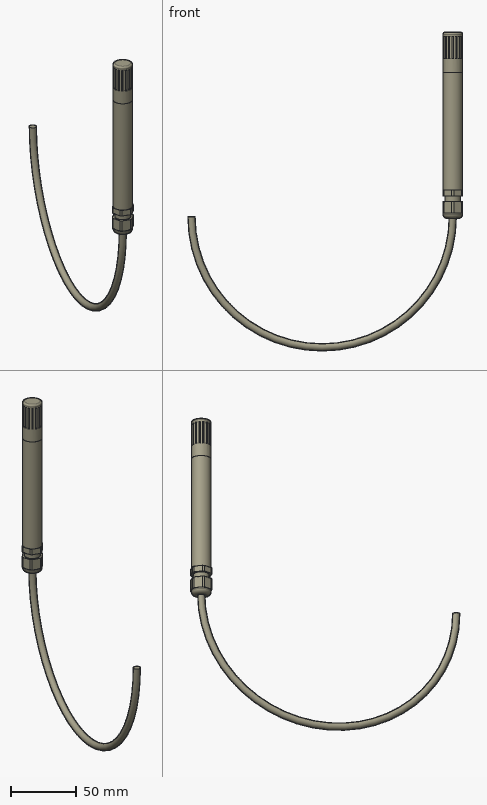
import cadquery as cq
import math

total_length = 210.0
total_height = 243.5

cable_dia = 5.5

hex_across_flats = 15.0
hex_corner_dia = 16.5
neck_dia = 12.2

tube_dia = hex_across_flats
cap_top_fillet = 1.58
slot_count = 16
slot_width = 1.0
slot_floor_dia = 10.5
slot_bottom = 223.5
slot_top = 240.5

nut_bottom = 101.3
nut_hex_bottom = 105.5
nut_top = 114.3
hex_bottom = 118.5
tube_bottom = 123.0
cap_bottom = 212.7
nut_bottom_fillet = 3.2

probe_radius = hex_across_flats / 2
cable_radius = cable_dia / 2
bend_radius = (total_length - probe_radius - cable_radius) / 2
cable_end_height = bend_radius + cable_radius


def cylinder(diameter, bottom, top):
    return cq.Workplane("XY").workplane(offset=bottom).circle(diameter / 2).extrude(top - bottom)


def hexagon(bottom, top):
    """Hexagonal prism whose corners are trimmed to a cylinder."""
    across_corners = hex_across_flats / math.cos(math.radians(30))
    prism = (
        cq.Workplane("XY")
        .workplane(offset=bottom)
        .transformed(rotate=(0, 0, 30))
        .polygon(6, across_corners)
        .extrude(top - bottom)
    )
    return prism.intersect(cylinder(hex_corner_dia, bottom, top))


def make_cable():
    return (
        cq.Workplane("XY")
        .workplane(offset=cable_end_height)
        .circle(cable_radius)
        .revolve(180, (-bend_radius, -2.5, 0), (-bend_radius, 2.5, 0))
    )


def make_gland_nut(cable):
    """Clamping nut with a rounded end and a socket for the cable."""
    skirt = cylinder(tube_dia, nut_bottom, nut_hex_bottom)
    skirt = skirt.faces("<Z").edges().fillet(nut_bottom_fillet)
    return hexagon(nut_hex_bottom, nut_top).union(skirt).cut(cable)


def make_gland_body():
    """Hexagon with the round neck that stands on the gland nut."""
    return hexagon(hex_bottom, tube_bottom).union(cylinder(neck_dia, nut_top, hex_bottom))


def make_tube():
    return cylinder(tube_dia, tube_bottom, cap_bottom)


def make_filter_cap():
    """Round-edged cap with a ring of lengthwise slots."""
    cap = cylinder(tube_dia, cap_bottom, total_height)
    cap = cap.faces(">Z").edges().fillet(cap_top_fillet)
    blade = (
        cq.Workplane("XY")
        .workplane(offset=slot_bottom)
        .rect(tube_dia, slot_width)
        .extrude(slot_top - slot_bottom)
        .translate((tube_dia / 2, 0, 0))
    )
    blade = blade.cut(cylinder(slot_floor_dia, slot_bottom, slot_top))
    for i in range(slot_count):
        cap = cap.cut(blade.rotate((0, 0, 0), (0, 0, 1), i * 360 / slot_count))
    return cap


cable = make_cable()
gland_nut = make_gland_nut(cable)
gland_body = make_gland_body()
tube = make_tube()
filter_cap = make_filter_cap()

result = cq.Compound.makeCompound(
    [cable.val(), gland_nut.val(), gland_body.val(), tube.val(), filter_cap.val()]
)